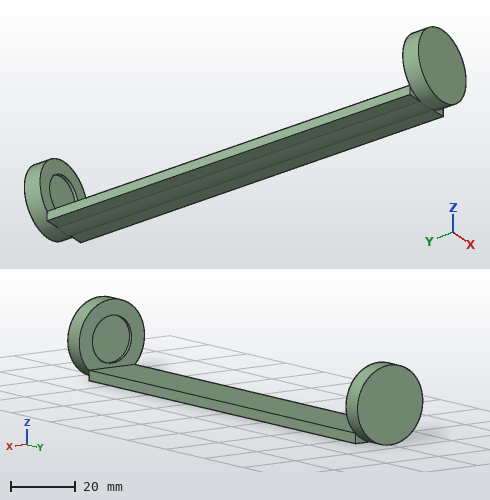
import cadquery as cq
import math

length = 150.0
disc_diameter = 25.0
disc_thickness = 6.0
recess_diameter = 15.0
recess_depth = 1.0
bar_width = 17.5
bar_thickness = 3.3
bar_lift = 0.5

inner_face = length / 2 - disc_thickness
disc_radius = disc_diameter / 2
bar_bottom = -disc_radius + bar_lift
belly_half_width = math.sqrt(disc_radius**2 - bar_bottom**2)


def end_disc():
    """Disc at the +Y end with a shallow round recess in its inward face."""
    inward_plane = cq.Workplane("XZ", origin=(0, inner_face, 0))
    disc = inward_plane.circle(disc_radius).extrude(-disc_thickness)
    recess = inward_plane.circle(recess_diameter / 2).extrude(-recess_depth)
    return disc.cut(recess)


def connecting_bar():
    """Bar between the discs: flat strip with a rounded belly that continues the disc rims."""
    bar_length = 2 * inner_face
    return (
        cq.Workplane("XZ")
        .moveTo(-belly_half_width, bar_bottom)
        .lineTo(-bar_width / 2, bar_bottom)
        .lineTo(-bar_width / 2, bar_bottom + bar_thickness)
        .lineTo(bar_width / 2, bar_bottom + bar_thickness)
        .lineTo(bar_width / 2, bar_bottom)
        .lineTo(belly_half_width, bar_bottom)
        .threePointArc((0, -disc_radius), (-belly_half_width, bar_bottom))
        .close()
        .extrude(bar_length / 2, both=True)
    )


disc = end_disc()
result = connecting_bar().union(disc).union(disc.mirror("XZ"))